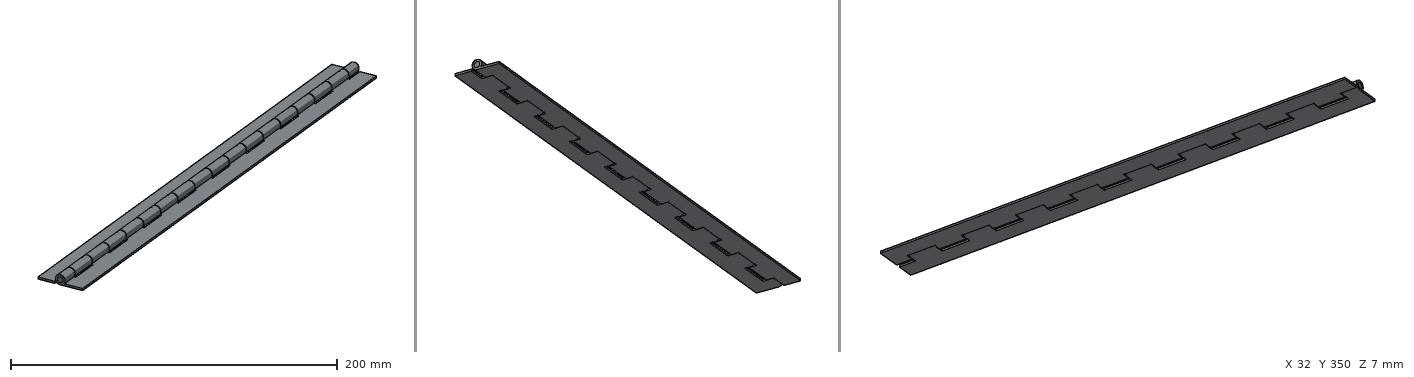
import cadquery as cq

hinge_length = 350.0
hinge_width = 32.0
barrel_diameter = 7.0
sheet_thickness = 1.5

full_knuckle_count = 16
end_pitch = 12.0
knuckle_gap = 0.5

notch_clearance = 0.5

barrel_radius = barrel_diameter / 2
pin_radius = barrel_radius - sheet_thickness
pin_height = barrel_radius
half_width = hinge_width / 2
notch_half_width = barrel_radius + notch_clearance
hinge_end = hinge_length / 2
knuckle_pitch = (hinge_length - 2 * end_pitch) / full_knuckle_count


def knuckle_spans():
    """Start and end Y of every knuckle, in order from -Y to +Y."""
    first_gap = -hinge_end + end_pitch
    gap_centres = [first_gap + i * knuckle_pitch for i in range(full_knuckle_count + 1)]
    starts = [-hinge_end] + [y + knuckle_gap / 2 for y in gap_centres]
    ends = [y - knuckle_gap / 2 for y in gap_centres] + [hinge_end]
    return list(zip(starts, ends))


def rod(radius, start, end):
    """Cylinder on the pin axis between two Y positions."""
    return cq.Workplane("XZ", origin=(0, start, pin_height)).circle(radius).extrude(start - end)


def sheet(x_start, x_end, y_start, y_end):
    """Flat piece of leaf sheet resting on Z = 0."""
    corner = cq.Workplane("XY", origin=(x_start, y_start, 0))
    return corner.box(x_end - x_start, y_end - y_start, sheet_thickness, centered=False)


def make_leaf(spans):
    """Leaf on the +X side, carrying a knuckle on each of the given Y spans."""
    leaf = sheet(notch_half_width, half_width, -hinge_end, hinge_end)
    for start, end in spans:
        leaf = leaf.union(sheet(0, notch_half_width, start, end))
        leaf = leaf.union(rod(barrel_radius, start, end))
    return leaf.cut(rod(pin_radius, -hinge_end, hinge_end))


spans = knuckle_spans()

right_leaf = make_leaf(spans[0::2])

left_leaf = make_leaf(spans[1::2]).mirror("YZ")

pin = rod(pin_radius, -hinge_end, hinge_end)

result = cq.Compound.makeCompound([right_leaf.val(), left_leaf.val(), pin.val()])